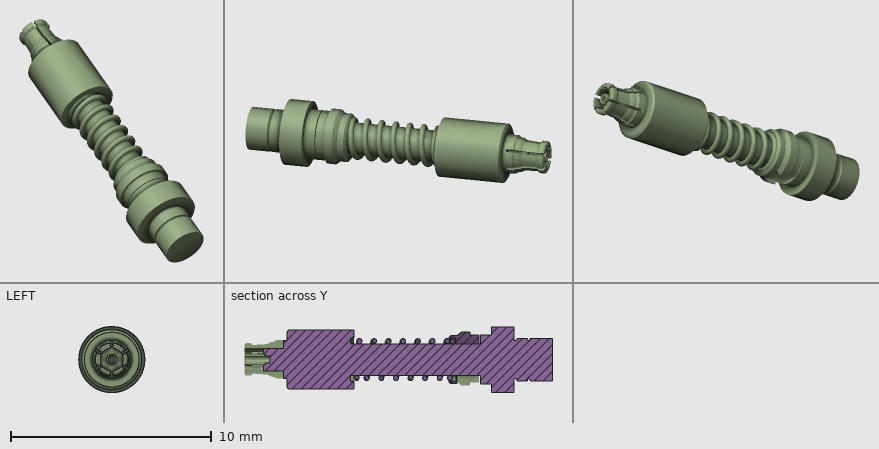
import cadquery as cq
import math

TOTAL_LENGTH = 15.34

TIP_FACE_RADIUS = 0.7
TIP_LIP_RADIUS = 0.81
TIP_LIP_END = 0.29
TIP_ROUND = TIP_LIP_RADIUS - TIP_FACE_RADIUS
WAIST_RADIUS = 0.72
WAIST_START = 0.41
WAIST_END = 0.5
FLARE_START = 1.14
FLARE_START_RADIUS = 0.77
FLARE_TURN = 1.4
FLARE_TURN_RADIUS = 0.87
FLARE_END = 1.58
NECK_RADIUS = 0.97
CONCAVE_SAG = 0.02
CONVEX_SAG = 0.02

SOCKET_DIAMETER = 1.15
SOCKET_RADIUS = SOCKET_DIAMETER / 2
SOCKET_DEPTH = 0.92
SLOT_WIDTH = 0.14
SLOT_END = 1.92
SLOT_COUNT = 6
PIN_RADIUS = 0.26
PIN_BORE_RADIUS = 0.17
PIN_START = 0.05
PIN_SLOT_END = 1.0
PIN_BORE_END = 1.23

COLLAR_START = 2.09
COLLAR_END = 5.46
COLLAR_RADIUS = 1.49
COLLAR_CHAMFER_LENGTH = 0.08
COLLAR_CHAMFER_DEPTH = 0.12
SHAFT_RADIUS = 0.8

SHOULDER_START = 11.74
SHOULDER_RADIUS = 1.25
FLANGE_START = 12.29
FLANGE_END = 13.44
FLANGE_DIAMETER = 3.3
FLANGE_RADIUS = FLANGE_DIAMETER / 2
TAIL_RADIUS = 1.07
GROOVE_RADIUS = 0.97
UNDERCUT_FLAT_END = 13.53
UNDERCUT_END = 13.58
GROOVE_START = 14.11
GROOVE_FLAT_END = 14.16
GROOVE_END = 14.25

WIRE_RADIUS = 0.14
COIL_OUTER_RADIUS = 1.06
COIL_RADIUS = COIL_OUTER_RADIUS - WIRE_RADIUS
ACTIVE_START = 5.7
ACTIVE_LENGTH = 4.37
ACTIVE_TURNS = 6
ACTIVE_PITCH = ACTIVE_LENGTH / ACTIVE_TURNS
CLOSED_PITCH = 0.29
SPRING_START = ACTIVE_START - CLOSED_PITCH - WIRE_RADIUS
SPRING_END = ACTIVE_START + ACTIVE_LENGTH + CLOSED_PITCH + WIRE_RADIUS
POCKET_RADIUS = 1.07

SLEEVE_START = 10.15
SLEEVE_GAP = 0.05
SLEEVE_END = SHOULDER_START - SLEEVE_GAP
SLEEVE_RADIUS = SHOULDER_RADIUS
SLEEVE_FRONT_RADIUS = 1.21
SLEEVE_SLOT_WIDTH = 0.95
SLEEVE_CHAMFER = 0.1
RIDGE_CONE_START = 10.58
RIDGE_START = 10.8
RIDGE_END = 11.23
RIDGE_RADIUS = 1.38


def turned(profile):
    """Revolve a closed (x, radius) profile once around the X axis."""
    return profile.close().revolve(360, (0, 0, 0), (1, 0, 0))


def cylinder(radius, start, end):
    return cq.Workplane("YZ", origin=(start, 0, 0)).circle(radius).extrude(end - start)


def make_outer_shape():
    """Solid outline of the contact body, from the tip to the tail."""
    round_middle = TIP_ROUND * (1 - math.sqrt(0.5))
    profile = (
        cq.Workplane("XY")
        .lineTo(0, TIP_FACE_RADIUS)
        .threePointArc((round_middle, TIP_LIP_RADIUS - round_middle), (TIP_ROUND, TIP_LIP_RADIUS))
        .lineTo(TIP_LIP_END, TIP_LIP_RADIUS)
        .lineTo(WAIST_START, WAIST_RADIUS)
        .lineTo(WAIST_END, WAIST_RADIUS)
        .lineTo(FLARE_START, FLARE_START_RADIUS)
        .sagittaArc((FLARE_TURN, FLARE_TURN_RADIUS), CONCAVE_SAG)
        .sagittaArc((FLARE_END, NECK_RADIUS), -CONVEX_SAG)
        .lineTo(COLLAR_START, NECK_RADIUS)
        .lineTo(COLLAR_START, COLLAR_RADIUS - COLLAR_CHAMFER_DEPTH)
        .lineTo(COLLAR_START + COLLAR_CHAMFER_LENGTH, COLLAR_RADIUS)
        .lineTo(COLLAR_END, COLLAR_RADIUS)
        .lineTo(COLLAR_END, SHAFT_RADIUS)
        .lineTo(SHOULDER_START, SHAFT_RADIUS)
        .lineTo(SHOULDER_START, SHOULDER_RADIUS)
        .lineTo(FLANGE_START, SHOULDER_RADIUS)
        .lineTo(FLANGE_START, FLANGE_RADIUS)
        .lineTo(FLANGE_END, FLANGE_RADIUS)
        .lineTo(FLANGE_END, GROOVE_RADIUS)
        .lineTo(UNDERCUT_FLAT_END, GROOVE_RADIUS)
        .lineTo(UNDERCUT_END, TAIL_RADIUS)
        .lineTo(GROOVE_START, TAIL_RADIUS)
        .lineTo(GROOVE_START, GROOVE_RADIUS)
        .lineTo(GROOVE_FLAT_END, GROOVE_RADIUS)
        .lineTo(GROOVE_END, TAIL_RADIUS)
        .lineTo(TOTAL_LENGTH, TAIL_RADIUS)
        .lineTo(TOTAL_LENGTH, 0)
    )
    return turned(profile)


def make_tip_slot(index):
    """One radial slot through the tip wall, straight up for index 0."""
    cutter = (
        cq.Workplane("XY")
        .rect(2 * SLOT_END, SLOT_WIDTH)
        .extrude(COLLAR_RADIUS)
        .cut(cylinder(SOCKET_RADIUS, -SLOT_END, SLOT_END))
    )
    return cutter.rotate((0, 0, 0), (1, 0, 0), index * 360 / SLOT_COUNT)


def make_contact_body():
    """Slotted tip with its pin, collar, shaft, flange and tail, all one piece."""
    body = make_outer_shape()
    for index in range(SLOT_COUNT):
        body = body.cut(make_tip_slot(index))

    socket = cylinder(SOCKET_RADIUS, 0, SOCKET_DEPTH).cut(cylinder(PIN_RADIUS, PIN_START, SOCKET_DEPTH))
    pin_bore = cylinder(PIN_BORE_RADIUS, 0, PIN_BORE_END)
    pin_slot = (
        cq.Workplane("XY")
        .box(PIN_SLOT_END, SLOT_WIDTH, 2 * PIN_RADIUS, centered=(False, True, True))
        .intersect(cylinder(PIN_RADIUS, 0, PIN_SLOT_END))
    )
    body = body.cut(socket).cut(pin_bore).cut(pin_slot)

    spring_pocket = cylinder(POCKET_RADIUS, SPRING_START, COLLAR_END).cut(
        cylinder(SHAFT_RADIUS, SPRING_START, COLLAR_END)
    )
    return body.cut(spring_pocket)


def make_coil(start, pitch, turns):
    """Right-handed coil along Z that begins and ends on the -X side.

    The round wire has a narrow flat on its inner side, where it lies on the shaft.
    """
    path = cq.Wire.makeHelix(pitch, pitch * turns, COIL_RADIUS)
    half_flat = math.sqrt(WIRE_RADIUS**2 - (COIL_RADIUS - SHAFT_RADIUS) ** 2)
    section = (
        cq.Workplane("XZ")
        .moveTo(SHAFT_RADIUS, -half_flat)
        .threePointArc((COIL_OUTER_RADIUS, 0), (SHAFT_RADIUS, half_flat))
        .close()
    )
    coil = section.sweep(cq.Workplane(path), isFrenet=True)
    return coil.rotate((0, 0, 0), (0, 0, 1), 180).translate((0, 0, start))


def make_spring():
    """Compression spring with one closed turn at each end."""
    spring = (
        make_coil(ACTIVE_START, ACTIVE_PITCH, ACTIVE_TURNS)
        .union(make_coil(ACTIVE_START - CLOSED_PITCH, CLOSED_PITCH, 1))
        .union(make_coil(ACTIVE_START + ACTIVE_LENGTH, CLOSED_PITCH, 1))
    )
    return spring.rotate((0, 0, 0), (0, 1, 0), 90)


def make_sleeve():
    """Ring on the shaft with a spring pocket, a raised ridge and a slot along its underside."""
    profile = (
        cq.Workplane("XY")
        .moveTo(SPRING_END, SHAFT_RADIUS)
        .lineTo(SPRING_END, POCKET_RADIUS)
        .lineTo(SLEEVE_START, POCKET_RADIUS)
        .lineTo(SLEEVE_START, SLEEVE_FRONT_RADIUS - SLEEVE_CHAMFER)
        .lineTo(SLEEVE_START + SLEEVE_CHAMFER, SLEEVE_FRONT_RADIUS)
        .lineTo(RIDGE_CONE_START, SLEEVE_FRONT_RADIUS)
        .lineTo(RIDGE_START, RIDGE_RADIUS)
        .lineTo(RIDGE_END, RIDGE_RADIUS)
        .lineTo(RIDGE_END, SLEEVE_RADIUS)
        .lineTo(SLEEVE_END, SLEEVE_RADIUS)
        .lineTo(SLEEVE_END, SHAFT_RADIUS)
    )
    slot = cq.Workplane("XY", origin=(RIDGE_CONE_START, 0, -RIDGE_RADIUS)).box(
        SLEEVE_END - RIDGE_CONE_START, SLEEVE_SLOT_WIDTH, RIDGE_RADIUS, centered=(False, True, False)
    )
    return turned(profile).cut(slot)


contact_body = make_contact_body()
spring = make_spring()
sleeve = make_sleeve()

result = cq.Compound.makeCompound(
    [contact_body.solids().val(), spring.solids().val(), sleeve.solids().val()]
)